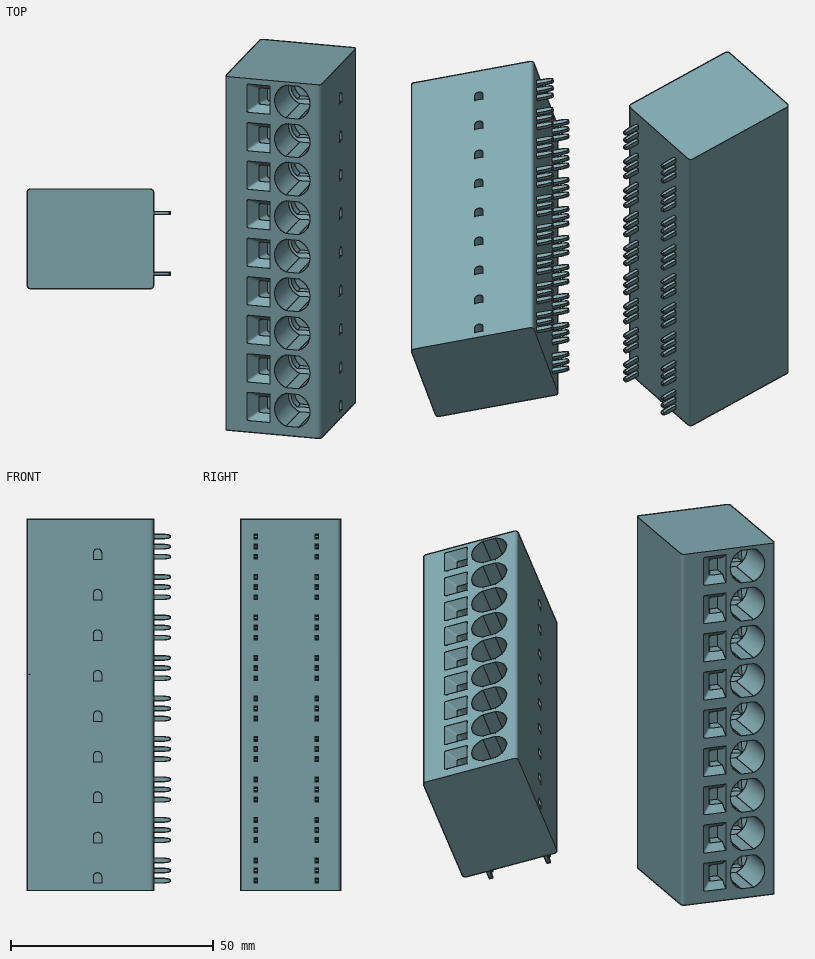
import cadquery as cq
import math

overall_depth = 35.4
pin_length = 4.1
body_depth = overall_depth - pin_length
body_width = 24.7
body_height = 91.8
corner_radius = 0.9

pole_count = 9
pole_pitch = 10.0
top_pole_drop = 5.1
pole_heights = [body_height - top_pole_drop - i * pole_pitch for i in range(pole_count)]

wire_y = -5.0
bore_radius = 4.55
bore_half_height = 4.25
bore_depth = 12.0
seat_half_angle = 58.0
wire_end_radius = 3.95
wire_end_half_height = 3.2
wire_end_side_flat = 3.3
wire_end_length = 3.0

pocket_right_y = 0.75
pocket_width = 5.9
pocket_height = 7.35
funnel_depth = 2.4
funnel_side_inset = 2.4
funnel_end_inset = 1.55
throat_depth = 3.3
throat_side_inset = 1.15
pocket_edge_radius = 0.6

window_x = 17.4
window_width = 2.1
window_height = 2.6
window_bottom_drop = 4.85
window_depth = 3.0

pin_rows_y = (6.4, -8.6)
pin_width = 1.2
pin_thickness = 0.85
pin_spacing = 2.5
pin_top_offset = 0.8
taper_length = 1.6
nose_length = 0.35
nose_width = 0.85
tip_width = 0.4
pins_per_row = 3


def make_body():
    block = cq.Workplane("XY").box(body_depth, body_width, body_height, centered=(False, True, False))
    return block.edges("|Z").fillet(corner_radius)


def make_wire_entry():
    """Wire entry about the X axis, opening at X = 0 and running toward +X."""
    bore = cq.Workplane("YZ").circle(bore_radius).extrude(bore_depth)

    seat_height = bore_radius / math.tan(math.radians(seat_half_angle))
    seat_start = cq.Vector(bore_depth, 0, 0)
    seat = cq.Solid.makeCone(bore_radius, 0, seat_height, seat_start, cq.Vector(1, 0, 0))

    flats = (
        cq.Workplane("YZ")
        .rect(2 * bore_radius, 2 * bore_half_height)
        .extrude(bore_depth + seat_height)
    )

    arc_start_y = math.sqrt(wire_end_radius**2 - wire_end_half_height**2)
    wire_end = (
        cq.Workplane("YZ", origin=(bore_depth, 0, 0))
        .moveTo(-wire_end_side_flat, -wire_end_half_height)
        .lineTo(arc_start_y, -wire_end_half_height)
        .threePointArc((wire_end_radius, 0), (arc_start_y, wire_end_half_height))
        .lineTo(-wire_end_side_flat, wire_end_half_height)
        .close()
        .extrude(wire_end_length)
    )
    return bore.union(cq.Workplane(seat)).intersect(flats).union(wire_end)


def tapered_block(x_start, length, start_size, end_size):
    """Block along X whose (width, height) changes; its -Y side stays straight at Y = 0."""
    start_width, start_height = start_size
    end_width, end_height = end_size
    return (
        cq.Workplane("YZ", origin=(x_start, 0, 0))
        .center(start_width / 2, 0)
        .rect(start_width, start_height)
        .workplane(offset=length)
        .center((end_width - start_width) / 2, 0)
        .rect(end_width, end_height)
        .loft(ruled=True)
    )


def side_corner_edges(block):
    """The two lengthwise edges at the +Y side of a tapered block."""
    return block.faces(">(0, 1, 0)").edges("not |Z")


def make_pocket():
    """Release pocket with its straight side at Y = 0, opening at X = 0 and running toward +X."""
    mouth = (pocket_width, pocket_height)
    throat = (pocket_width - funnel_side_inset, pocket_height - 2 * funnel_end_inset)
    floor = (throat[0] - throat_side_inset, throat[1])
    funnel = tapered_block(0, funnel_depth, mouth, throat)
    passage = tapered_block(funnel_depth, throat_depth, throat, floor)
    return (
        side_corner_edges(funnel)
        .fillet(pocket_edge_radius)
        .union(side_corner_edges(passage).fillet(pocket_edge_radius))
    )


def make_window():
    """Test opening with its bottom edge at Z = 0, cut inward from the -Y face."""
    shoulder = window_height - window_width / 2
    return (
        cq.Workplane("XZ", origin=(window_x, -body_width / 2, 0))
        .moveTo(-window_width / 2, 0)
        .lineTo(window_width / 2, 0)
        .lineTo(window_width / 2, shoulder)
        .threePointArc((0, window_height), (-window_width / 2, shoulder))
        .close()
        .extrude(-window_depth)
    )


def make_pin():
    return (
        cq.Workplane("XZ")
        .moveTo(0, -pin_width / 2)
        .lineTo(pin_length - taper_length, -pin_width / 2)
        .lineTo(pin_length - nose_length, -nose_width / 2)
        .lineTo(pin_length, -tip_width / 2)
        .lineTo(pin_length, tip_width / 2)
        .lineTo(pin_length - nose_length, nose_width / 2)
        .lineTo(pin_length - taper_length, pin_width / 2)
        .lineTo(0, pin_width / 2)
        .close()
        .extrude(pin_thickness / 2, both=True)
    )


wire_entry = make_wire_entry()
pocket = make_pocket()
window = make_window()
pin = make_pin()

openings = []
pins = []
for pole_z in pole_heights:
    openings.append(wire_entry.val().translate(cq.Vector(0, wire_y, pole_z)))
    openings.append(pocket.val().translate(cq.Vector(0, pocket_right_y, pole_z)))
    openings.append(window.val().translate(cq.Vector(0, 0, pole_z - window_bottom_drop)))
    for row_y in pin_rows_y:
        for i in range(pins_per_row):
            pin_z = pole_z + pin_top_offset - i * pin_spacing
            pins.append(pin.val().translate(cq.Vector(body_depth, row_y, pin_z)))

result = (
    make_body()
    .cut(cq.Workplane(cq.Compound.makeCompound(openings)))
    .union(cq.Workplane(cq.Compound.makeCompound(pins)))
)